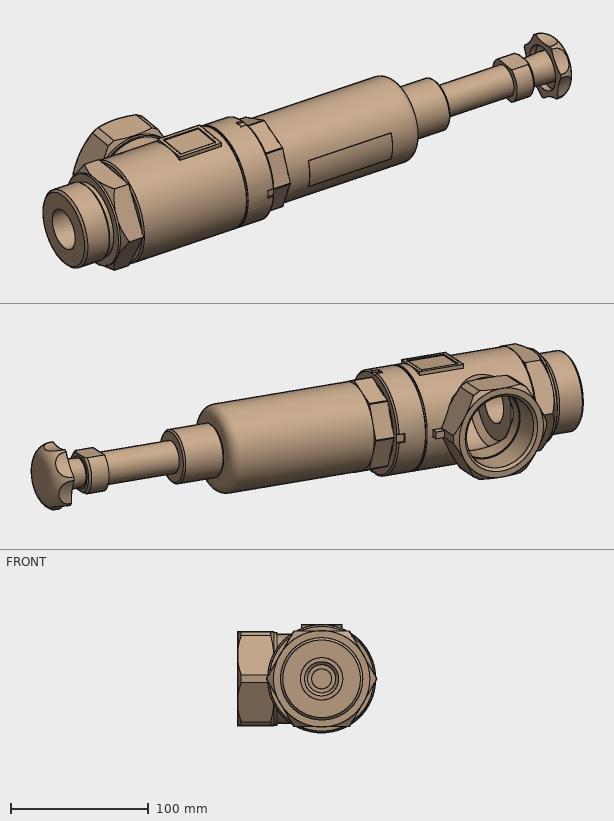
import cadquery as cq
import math

OVERALL_LENGTH = 427.5

CUT_MARGIN = 4.3

HEXAGON = 6
OCTAGON = 8

BODY_BOTTOM = 43.0
BODY_TOP = 157.0
RING_TOP = 172.7
BONNET_TOP = 288.0
COLLAR_TOP = 321.0
LOCK_NUT_BOTTOM = 380.5
LOCK_NUT_TOP = 396.5
KNOB_BOTTOM = 413.0

BODY_RADIUS = 39.5
BODY_EDGE = 1.3
GROOVE_HEIGHT = 133.5
GROOVE_WIDTH = 1.3
GROOVE_DEPTH = 0.5
CHAMBER_RADIUS = 32.5
CHAMBER_BOTTOM = 63.3
SEAT_RADIUS = 28.0
SEAT_TOP = 58.5
NOTCH_WIDTH = 6.5
NOTCH_HEIGHT = 6.0
NOTCH_DEPTH = 1.5
NOTCH_COUNT = 4

OUTLET_HEIGHT = 83.5
OUTLET_FACE = 61.0
OUTLET_HEX_INNER_END = 34.5
OUTLET_COLLAR_END = 32.5
OUTLET_COLLAR_RADIUS = 33.8
OUTLET_INNER_EDGE_ANGLE = 30
OUTLET_FACE_EDGE_ANGLE = 35
OUTLET_HEX_APOTHEM = 34.0
OUTLET_CORNER_APOTHEM = 75.5 / 2
OUTLET_NECK_RADIUS = 32.5
OUTLET_BORE_RADIUS = 27.5
OUTLET_BORE_CHAMFER = 2.0
OUTLET_BORE_DEPTH = 24.0
OUTLET_PASSAGE_RADIUS = 26.5

BADGE_WIDTH = 29.5
BADGE_LENGTH = 36.0
BADGE_CENTER = 108.5
BADGE_TOP = BODY_RADIUS + 0.1
BADGE_RIM = 3.0
BADGE_RECESS = 1.0

LUG_TIP = 45.0
LUG_BOTTOM = 121.5
LUG_TOP = 128.3
LUG_WIDTH = 5.0

INLET_HEX_APOTHEM = 69.5 / 2
INLET_HEX_BOTTOM = 26.5
INLET_EDGE_ANGLE = 40
INLET_COLLAR_BOTTOM = 25.0
INLET_COLLAR_RADIUS = 35.0
INLET_GROOVE_RADIUS = 28.5
THREAD_TOP = 21.5
THREAD_RADIUS = 30.0
THREAD_CHAMFER = 1.5
THREAD_RUNOUT = 1.3
INLET_BORE_RADIUS = 15.5

RING_GAP = 1.0
RING_APOTHEM = 33.0
RING_CORNER_RADIUS = 35.5
SPIGOT_BOTTOM = 134.5
RECESS_RADIUS = 12.5
RECESS_THROAT_RADIUS = 10.3
RECESS_DEPTH = 6.5
RECESS_CHAMFER = RECESS_RADIUS - RECESS_THROAT_RADIUS
CENTER_HOLE_RADIUS = 7.3
CENTER_HOLE_DEPTH = 13.0

BONNET_RADIUS = 33.0
BONNET_FILLET = 7.5
LABEL_HEIGHT = 0.2
LABEL_WIDTH = 22.2
LABEL_BOTTOM = 191.0
LABEL_TOP = 262.5

COLLAR_RADIUS = 20.0
COLLAR_CHAMFER = 1.3
SPINDLE_RADIUS = 24.5 / 2
LOCK_NUT_RADIUS = 16.5
LOCK_NUT_ACROSS_FLATS = 28.0
LOCK_NUT_CHAMFER = 1.5

KNOB_RADIUS = 25.2
KNOB_EDGE_RADIUS = 12.5
HUB_TOP_RADIUS = 12.0
HUB_BOTTOM_RADIUS = 10.5
KNOB_RECESS_RADIUS = 17.5
KNOB_RECESS_DEPTH = 5.0
SCALLOP_COUNT = 7
SCALLOP_FLOOR = 22.0
SCALLOP_RADIUS = 33.0


def turned(outline):
    """Solid of revolution about Y from (radius, height) points."""
    return cq.Workplane("XY").polyline(outline).close().revolve(360, (0, 0, 0), (0, 1, 0))


def rod(radius, bottom, top):
    """Cylinder along Y."""
    return turned([(0, bottom), (radius, bottom), (radius, top), (0, top)])


def prism(sides, corner_radius, bottom, top):
    """Regular prism along Y with a corner on +X."""
    return (
        cq.Workplane("XZ", origin=(0, bottom, 0))
        .polygon(sides, 2 * corner_radius)
        .extrude(bottom - top)
    )


def block(x_range, y_range, z_range):
    """Box between the given limits."""
    ranges = (x_range, y_range, z_range)
    sizes = [high - low for low, high in ranges]
    corner = tuple(low for low, high in ranges)
    return cq.Workplane("XY").box(*sizes, centered=False).translate(corner)


def corner_radius_from(apothem, sides):
    """Corner radius of a regular polygon with the given apothem."""
    return apothem / math.cos(math.pi / sides)


def make_body_shell():
    """Turned barrel with chamfered ends and a fine groove."""
    groove_bottom = GROOVE_HEIGHT - GROOVE_WIDTH / 2
    groove_top = GROOVE_HEIGHT + GROOVE_WIDTH / 2
    groove_radius = BODY_RADIUS - GROOVE_DEPTH
    barrel = rod(BODY_RADIUS, BODY_BOTTOM, BODY_TOP).faces("<Y or >Y").chamfer(BODY_EDGE)
    groove = rod(BODY_RADIUS + CUT_MARGIN, groove_bottom, groove_top).cut(
        rod(groove_radius, groove_bottom, groove_top)
    )
    return barrel.cut(groove)


def make_outlet_branch():
    """Hexagon with blunted corners, then a round collar and a round neck."""
    length = OUTLET_FACE - OUTLET_COLLAR_END
    face_plane = cq.Workplane("YZ", origin=(-OUTLET_FACE, OUTLET_HEIGHT, 0))
    full_radius = corner_radius_from(OUTLET_HEX_APOTHEM, HEXAGON)
    hexagon = face_plane.polygon(HEXAGON, 2 * full_radius).extrude(length)
    blunting = (
        face_plane.polygon(HEXAGON, 2 * corner_radius_from(OUTLET_CORNER_APOTHEM, HEXAGON))
        .extrude(length)
        .rotate((0, OUTLET_HEIGHT, 0), (1, OUTLET_HEIGHT, 0), 180 / HEXAGON)
    )
    face_edge_drop = full_radius - OUTLET_HEX_APOTHEM
    face_edge = face_edge_drop * math.tan(math.radians(OUTLET_FACE_EDGE_ANGLE))
    inner_edge_drop = full_radius - OUTLET_COLLAR_RADIUS
    inner_edge = inner_edge_drop * math.tan(math.radians(OUTLET_INNER_EDGE_ANGLE))
    blank = (
        cq.Workplane("XY")
        .polyline(
            [
                (-OUTLET_FACE, OUTLET_HEIGHT),
                (-OUTLET_FACE, OUTLET_HEIGHT + OUTLET_HEX_APOTHEM),
                (-OUTLET_FACE + face_edge, OUTLET_HEIGHT + full_radius),
                (-OUTLET_HEX_INNER_END - inner_edge, OUTLET_HEIGHT + full_radius),
                (-OUTLET_HEX_INNER_END, OUTLET_HEIGHT + OUTLET_COLLAR_RADIUS),
                (-OUTLET_COLLAR_END, OUTLET_HEIGHT + OUTLET_COLLAR_RADIUS),
                (-OUTLET_COLLAR_END, OUTLET_HEIGHT),
            ]
        )
        .close()
        .revolve(360, (0, OUTLET_HEIGHT, 0), (1, OUTLET_HEIGHT, 0))
    )
    neck = face_plane.circle(OUTLET_NECK_RADIUS).extrude(OUTLET_FACE)
    return hexagon.intersect(blunting).intersect(blank).union(neck)


def make_outlet_bore():
    """Bore with a chamfered mouth, narrowing to the passage into the chamber."""
    bore_end = OUTLET_FACE - OUTLET_BORE_DEPTH
    mouth = OUTLET_BORE_RADIUS + OUTLET_BORE_CHAMFER
    return (
        cq.Workplane("XY")
        .polyline(
            [
                (-OUTLET_FACE, OUTLET_HEIGHT),
                (-OUTLET_FACE, OUTLET_HEIGHT + mouth),
                (-OUTLET_FACE + OUTLET_BORE_CHAMFER, OUTLET_HEIGHT + OUTLET_BORE_RADIUS),
                (-bore_end, OUTLET_HEIGHT + OUTLET_BORE_RADIUS),
                (-bore_end, OUTLET_HEIGHT + OUTLET_PASSAGE_RADIUS),
                (0, OUTLET_HEIGHT + OUTLET_PASSAGE_RADIUS),
                (0, OUTLET_HEIGHT),
            ]
        )
        .close()
        .revolve(360, (0, OUTLET_HEIGHT, 0), (1, OUTLET_HEIGHT, 0))
    )


def make_badge():
    """Flat-topped plate on the barrel."""
    plate = cq.Workplane("XY", origin=(0, BADGE_CENTER, 0)).rect(BADGE_WIDTH, BADGE_LENGTH)
    return plate.extrude(BADGE_TOP)


def make_badge_recess():
    """Shallow pocket that leaves a raised rim around the badge."""
    floor = cq.Workplane("XY", origin=(0, BADGE_CENTER, BADGE_TOP - BADGE_RECESS))
    return floor.rect(BADGE_WIDTH - 2 * BADGE_RIM, BADGE_LENGTH - 2 * BADGE_RIM).extrude(CUT_MARGIN)


def make_rim_notches():
    """Square notches around the top rim of the body."""
    notch = block(
        (BODY_RADIUS - NOTCH_DEPTH, BODY_RADIUS + CUT_MARGIN),
        (BODY_TOP - NOTCH_HEIGHT, BODY_TOP + CUT_MARGIN),
        (-NOTCH_WIDTH / 2, NOTCH_WIDTH / 2),
    )
    notches = cq.Workplane("XY")
    for index in range(NOTCH_COUNT):
        notches = notches.add(notch.rotate((0, 0, 0), (0, 1, 0), index * 360 / NOTCH_COUNT))
    return notches.combine()


def make_valve_body():
    """Hollow body with its outlet branch, badge, lug and rim notches."""
    lug = block((-LUG_TIP, 0), (LUG_BOTTOM, LUG_TOP), (-LUG_WIDTH / 2, LUG_WIDTH / 2))
    chamber = turned(
        [
            (0, BODY_BOTTOM),
            (SEAT_RADIUS, BODY_BOTTOM),
            (SEAT_RADIUS, SEAT_TOP),
            (CHAMBER_RADIUS, CHAMBER_BOTTOM),
            (CHAMBER_RADIUS, BODY_TOP),
            (0, BODY_TOP),
        ]
    )
    outside = make_body_shell().union(make_outlet_branch()).union(make_badge()).union(lug)
    return (
        outside.cut(chamber)
        .cut(make_outlet_bore())
        .cut(make_badge_recess())
        .cut(make_rim_notches())
    )


def make_inlet_fitting():
    """Hexagon with a round collar, undercut, threaded end and a spigot inside the body."""
    corner = corner_radius_from(INLET_HEX_APOTHEM, HEXAGON)
    edge = corner - INLET_COLLAR_RADIUS
    blank = turned(
        [
            (0, INLET_HEX_BOTTOM),
            (INLET_COLLAR_RADIUS, INLET_HEX_BOTTOM),
            (corner, INLET_HEX_BOTTOM + edge * math.tan(math.radians(INLET_EDGE_ANGLE))),
            (corner, BODY_BOTTOM),
            (0, BODY_BOTTOM),
        ]
    )
    hexagon = prism(HEXAGON, corner, INLET_HEX_BOTTOM, BODY_BOTTOM).intersect(blank)
    stem = turned(
        [
            (0, 0),
            (THREAD_RADIUS - THREAD_CHAMFER, 0),
            (THREAD_RADIUS, THREAD_CHAMFER),
            (THREAD_RADIUS, THREAD_TOP - THREAD_RUNOUT),
            (INLET_GROOVE_RADIUS, THREAD_TOP),
            (INLET_GROOVE_RADIUS, INLET_COLLAR_BOTTOM),
            (INLET_COLLAR_RADIUS, INLET_COLLAR_BOTTOM),
            (INLET_COLLAR_RADIUS, INLET_HEX_BOTTOM),
            (SEAT_RADIUS, INLET_HEX_BOTTOM),
            (SEAT_RADIUS, SEAT_TOP),
            (0, SEAT_TOP),
        ]
    )
    return hexagon.union(stem).cut(rod(INLET_BORE_RADIUS, 0, SEAT_TOP))


def make_octagon_ring():
    """Octagonal ring with turned-off corners.

    Its spigot closes the chamber and has a stepped recess in the end.
    """
    ring_bottom = BODY_TOP + RING_GAP
    blank = rod(RING_CORNER_RADIUS, ring_bottom, RING_TOP)
    ring = prism(OCTAGON, corner_radius_from(RING_APOTHEM, OCTAGON), ring_bottom, RING_TOP).intersect(blank)
    spigot = rod(CHAMBER_RADIUS, SPIGOT_BOTTOM, ring_bottom)
    recess = turned(
        [
            (0, SPIGOT_BOTTOM),
            (RECESS_RADIUS, SPIGOT_BOTTOM),
            (RECESS_THROAT_RADIUS, SPIGOT_BOTTOM + RECESS_CHAMFER),
            (RECESS_THROAT_RADIUS, SPIGOT_BOTTOM + RECESS_DEPTH),
            (CENTER_HOLE_RADIUS, SPIGOT_BOTTOM + RECESS_DEPTH),
            (CENTER_HOLE_RADIUS, SPIGOT_BOTTOM + CENTER_HOLE_DEPTH),
            (0, SPIGOT_BOTTOM + CENTER_HOLE_DEPTH),
        ]
    )
    return ring.union(spigot).cut(recess)


def make_bonnet():
    """Round bonnet with a filleted shoulder and a thin raised label on the +X side."""
    bonnet = rod(BONNET_RADIUS, RING_TOP, BONNET_TOP).faces(">Y").edges().fillet(BONNET_FILLET)
    label_window = block(
        (0, BONNET_RADIUS + CUT_MARGIN),
        (LABEL_BOTTOM, LABEL_TOP),
        (-LABEL_WIDTH / 2, LABEL_WIDTH / 2),
    )
    label = rod(BONNET_RADIUS + LABEL_HEIGHT, LABEL_BOTTOM, LABEL_TOP).intersect(label_window)
    return bonnet.union(label)


def make_collar():
    """Round collar with both ends chamfered."""
    return rod(COLLAR_RADIUS, BONNET_TOP, COLLAR_TOP).faces("<Y or >Y").chamfer(COLLAR_CHAMFER)


def make_spindle():
    """Plain rod from the collar up through the lock nut."""
    return rod(SPINDLE_RADIUS, COLLAR_TOP, LOCK_NUT_TOP)


def make_lock_nut():
    """Round nut with two wrench flats, a chamfered upper edge and a bore for the spindle."""
    blank = rod(LOCK_NUT_RADIUS, LOCK_NUT_BOTTOM, LOCK_NUT_TOP)
    blank = blank.faces(">Y").chamfer(LOCK_NUT_CHAMFER)
    between_flats = block(
        (-LOCK_NUT_RADIUS, LOCK_NUT_RADIUS),
        (LOCK_NUT_BOTTOM, LOCK_NUT_TOP),
        (-LOCK_NUT_ACROSS_FLATS / 2, LOCK_NUT_ACROSS_FLATS / 2),
    )
    return blank.intersect(between_flats).cut(rod(SPINDLE_RADIUS, LOCK_NUT_BOTTOM, LOCK_NUT_TOP))


def make_knob():
    """Domed knob on a tapered hub, hollowed underneath, with scallops around its rim."""
    head = rod(KNOB_RADIUS, KNOB_BOTTOM, OVERALL_LENGTH).faces(">Y").edges().fillet(KNOB_EDGE_RADIUS)
    hollow = rod(KNOB_RECESS_RADIUS, KNOB_BOTTOM, KNOB_BOTTOM + KNOB_RECESS_DEPTH)
    hub = turned(
        [
            (0, LOCK_NUT_TOP),
            (HUB_BOTTOM_RADIUS, LOCK_NUT_TOP),
            (HUB_TOP_RADIUS, KNOB_BOTTOM),
            (HUB_TOP_RADIUS, KNOB_BOTTOM + KNOB_RECESS_DEPTH),
            (0, KNOB_BOTTOM + KNOB_RECESS_DEPTH),
        ]
    )
    knob = head.cut(hollow).union(hub)
    scallop = rod(SCALLOP_RADIUS, KNOB_BOTTOM, OVERALL_LENGTH)
    scallop = scallop.translate((0, 0, SCALLOP_FLOOR + SCALLOP_RADIUS))
    for index in range(SCALLOP_COUNT):
        knob = knob.cut(scallop.rotate((0, 0, 0), (0, 1, 0), index * 360 / SCALLOP_COUNT))
    return knob


inlet_fitting = make_inlet_fitting()
valve_body = make_valve_body()
octagon_ring = make_octagon_ring()
bonnet = make_bonnet()
collar = make_collar()
spindle = make_spindle()
lock_nut = make_lock_nut()
knob = make_knob()

bodies = [inlet_fitting, valve_body, octagon_ring, bonnet, collar, spindle, lock_nut, knob]
result = cq.Compound.makeCompound([body.solids().val() for body in bodies])